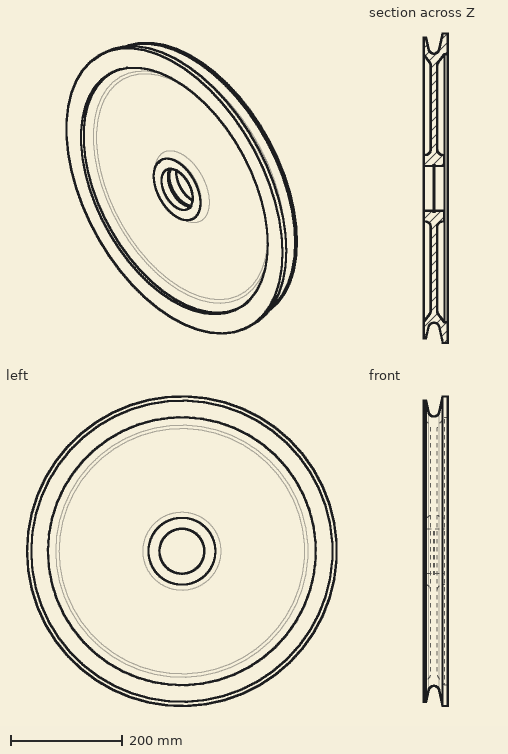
import cadquery as cq
import math

width = 44.0
hub_length = 37.0
middle = hub_length / 2
outer_radius = 278.0
low_flange_radius = 270.0

groove_bottom_radius = 242.0
groove_round = 9.5
groove_wall_angle = math.radians(12.6)

recess_depth = 13.0
recess_mouth_radius = 240.0
recess_floor_radius = 223.5
recess_fillet = 10.0

hub_radius = 60.0
hub_fillet = 10.0
bore_radius = 40.0

ring_radius = 41.5
ring_width = 2.0


def revolve_about_x(profile):
    """Turn a closed (x, radius) profile about the X axis."""
    return profile.close().revolve(360, (0, 0, 0), (1, 0, 0))


def make_blank():
    """Plain disc with the bore, stepped between the two flange radii."""
    return revolve_about_x(
        cq.Workplane("XY")
        .moveTo(0, bore_radius)
        .lineTo(0, low_flange_radius)
        .lineTo(middle, low_flange_radius)
        .lineTo(middle, outer_radius)
        .lineTo(width, outer_radius)
        .lineTo(width, bore_radius)
    )


def make_rope_groove():
    """V groove with a round bottom, open at the outer radius."""
    round_center_radius = groove_bottom_radius + groove_round
    tangent_offset = groove_round * math.cos(groove_wall_angle)
    tangent_radius = round_center_radius - groove_round * math.sin(groove_wall_angle)
    mouth_offset = tangent_offset + (outer_radius - tangent_radius) * math.tan(groove_wall_angle)
    return revolve_about_x(
        cq.Workplane("XY")
        .moveTo(middle - mouth_offset, outer_radius)
        .lineTo(middle - tangent_offset, tangent_radius)
        .threePointArc(
            (middle, groove_bottom_radius),
            (middle + tangent_offset, tangent_radius),
        )
        .lineTo(middle + mouth_offset, outer_radius)
    )


def make_face_recess():
    """Ring-shaped recess in the -X side, filleted at the hub and rim."""
    wall_angle = math.atan2(recess_mouth_radius - recess_floor_radius, recess_depth)
    setback = recess_fillet * math.tan((math.pi / 2 - wall_angle) / 2)
    wall_tangent = (
        recess_depth - setback * math.cos(wall_angle),
        recess_floor_radius + setback * math.sin(wall_angle),
    )
    floor_tangent = (recess_depth, recess_floor_radius - setback)
    return revolve_about_x(
        cq.Workplane("XY")
        .moveTo(0, hub_radius)
        .lineTo(recess_depth - hub_fillet, hub_radius)
        .radiusArc((recess_depth, hub_radius + hub_fillet), -hub_fillet)
        .lineTo(*floor_tangent)
        .radiusArc(wall_tangent, -recess_fillet)
        .lineTo(0, recess_mouth_radius)
    )


def make_back_relief():
    """Disc that lowers the +X side inside the rim to the level of the hub face."""
    return (
        cq.Workplane("YZ", origin=(hub_length, 0, 0))
        .circle(recess_mouth_radius)
        .extrude(width - hub_length)
    )


def make_bore_ring():
    """Narrow ring groove cut into the bore wall."""
    return (
        cq.Workplane("YZ", origin=(middle - ring_width / 2, 0, 0))
        .circle(ring_radius)
        .extrude(ring_width)
    )


front_recess = make_face_recess()
back_recess = front_recess.mirror("YZ").translate((hub_length, 0, 0))

result = (
    make_blank()
    .cut(make_rope_groove())
    .cut(front_recess)
    .cut(back_recess)
    .cut(make_back_relief())
    .cut(make_bore_ring())
)